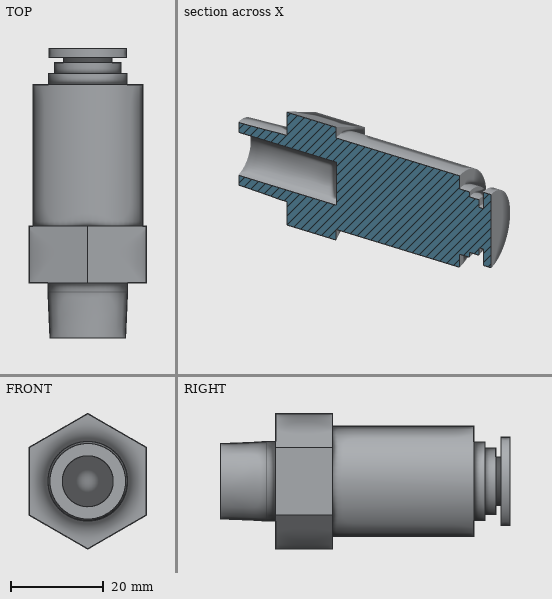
import cadquery as cq
import math

total_length = 62.4

taper_end = 10.0
hex_start = 11.9
hex_end = 24.15
body_end = 54.6
collar_end = 57.05
sleeve_end = 59.35
ring_start = 60.4

thread_tip_diameter = 16.3
thread_diameter = 17.15
body_diameter = 23.7
collar_diameter = 17.0
sleeve_diameter = 14.4
neck_diameter = 10.55
bore_diameter = 11.0

hex_across_flats = 25.3
hex_across_corners = hex_across_flats / math.cos(math.pi / 6)
ring_width = 16.7
ring_height = 19.0

bore_depth = hex_end


def plane_at(y):
    """Plane across the axis, with local x along X and extrusion toward +Y."""
    return cq.Workplane(cq.Plane(origin=(0, y, 0), xDir=(1, 0, 0), normal=(0, 1, 0)))


def cylinder(diameter, start, end):
    return plane_at(start).circle(diameter / 2).extrude(end - start)


thread = (
    cq.Workplane("XY")
    .moveTo(0, 0)
    .lineTo(thread_tip_diameter / 2, 0)
    .lineTo(thread_diameter / 2, taper_end)
    .lineTo(thread_diameter / 2, hex_start)
    .lineTo(0, hex_start)
    .close()
    .revolve(360, (0, 0, 0), (0, 1, 0))
)

hexagon = (
    plane_at(hex_start)
    .transformed(rotate=(0, 0, 90))
    .polygon(6, hex_across_corners)
    .extrude(hex_end - hex_start)
)

release_ring = (
    plane_at(ring_start)
    .ellipse(ring_width / 2, ring_height / 2)
    .extrude(total_length - ring_start)
)

result = thread.union(hexagon)
for diameter, start, end in (
    (body_diameter, hex_end, body_end),
    (collar_diameter, body_end, collar_end),
    (sleeve_diameter, collar_end, sleeve_end),
    (neck_diameter, sleeve_end, ring_start),
):
    result = result.union(cylinder(diameter, start, end))

result = result.union(release_ring).cut(cylinder(bore_diameter, 0, bore_depth))